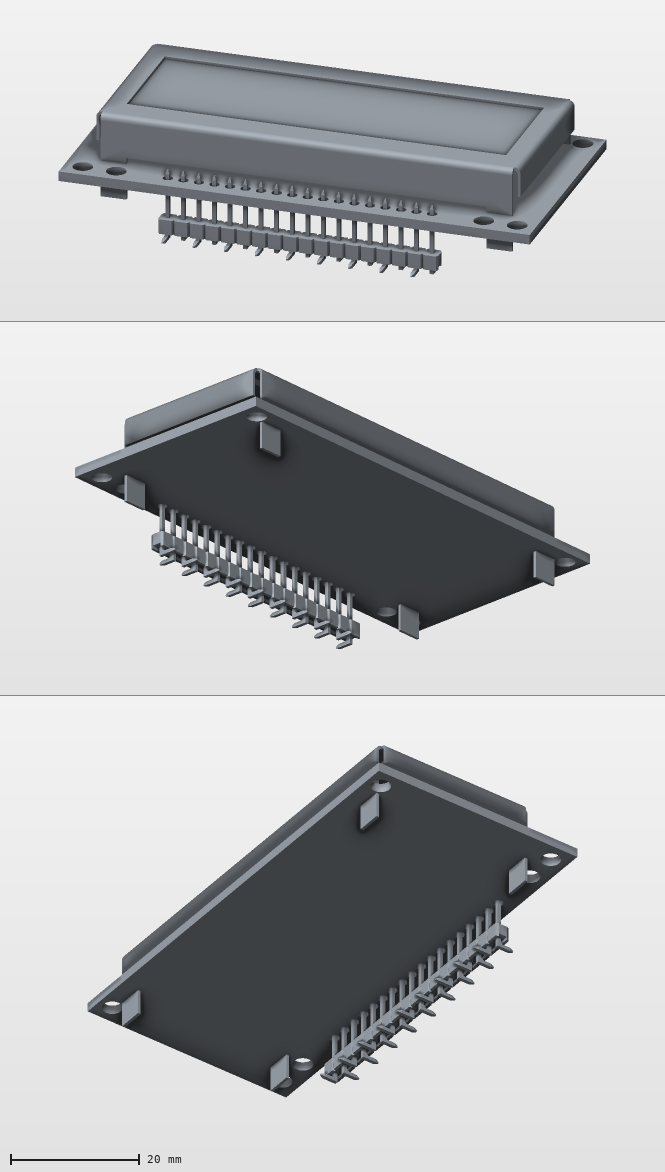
import cadquery as cq
import math

BOARD_LENGTH = 77.0
BOARD_WIDTH = 38.0
BOARD_THICKNESS = 1.6
MOUNT_HOLE_DIAMETER = 3.2
MOUNT_HOLE_SIDE_MARGIN = 3.0
MOUNT_HOLE_FRONT_MARGIN = 2.9
MOUNT_HOLE_BACK_MARGIN = 2.55
EXTRA_HOLE_SIDE_MARGIN = 8.5
PIN_HOLE_DIAMETER = 1.6

BEZEL_TOP_Z = 7.85
SHEET = 0.5
BEND_RADIUS = 1.0
FLAT_LENGTH = 67.3
FLAT_WIDTH = 26.95
BEZEL_CENTER_Y = 1.5
END_FLAP_BOTTOM_Z = 2.9
LONG_WALL_BOTTOM_Z = 1.0
LEG_WIDTH = 4.2
LEG_BOTTOM_Z = -6.1
WINDOW_LENGTH = 62.0
WINDOW_WIDTH = 18.95

GLASS_MARGIN = 2.0
GLASS_THICKNESS = 1.0

PIN_COUNT = 18
PITCH = 2.55
PIN_WIDTH = 0.6
PIN_TOP_Z = 1.5
PIN_BOTTOM_Z = -10.2
TIP_LENGTH = 0.7
TIP_WIDTH = 0.2
FOOT_REACH = 2.8
FOOT_GUSSET = 0.4
STRIP_TOP_Z = -6.6
STRIP_HEIGHT = 2.5
STRIP_CORNER_X = 0.25
STRIP_CORNER_Y = 0.5
CHANNEL_DEPTH = 0.5

HEADER_Y = -BOARD_WIDTH / 2 + MOUNT_HOLE_FRONT_MARGIN
PIN_XS = [(i - (PIN_COUNT - 1) / 2) * PITCH for i in range(PIN_COUNT)]


def box(x_size, y_size, z_low, z_high, x=0.0, y=0.0):
    """Box centred on (x, y) between two heights."""
    return cq.Workplane("XY", origin=(x, y, z_low)).rect(x_size, y_size).extrude(z_high - z_low)


def make_legs():
    """The four tabs at the ends of the long bezel walls, which pass through the board."""
    leg_x = (FLAT_LENGTH - LEG_WIDTH) / 2
    leg_y = FLAT_WIDTH / 2 + BEND_RADIUS - SHEET / 2
    legs = cq.Workplane("XY")
    for x in (-leg_x, leg_x):
        for y in (BEZEL_CENTER_Y - leg_y, BEZEL_CENTER_Y + leg_y):
            legs = legs.add(box(LEG_WIDTH, SHEET, LEG_BOTTOM_Z, LONG_WALL_BOTTOM_Z, x, y))
    return legs.combine()


def make_board():
    """Board with its mounting holes, pin holes and slots for the bezel legs."""
    board = box(BOARD_LENGTH, BOARD_WIDTH, -BOARD_THICKNESS, 0)
    corner_x = BOARD_LENGTH / 2 - MOUNT_HOLE_SIDE_MARGIN
    extra_x = BOARD_LENGTH / 2 - EXTRA_HOLE_SIDE_MARGIN
    front_y = -BOARD_WIDTH / 2 + MOUNT_HOLE_FRONT_MARGIN
    back_y = BOARD_WIDTH / 2 - MOUNT_HOLE_BACK_MARGIN
    mount_holes = [(x, front_y) for x in (-corner_x, -extra_x, extra_x, corner_x)]
    mount_holes += [(x, back_y) for x in (-corner_x, corner_x)]
    pin_holes = [(x, HEADER_Y) for x in PIN_XS]

    top = cq.Workplane("XY")
    board = board.cut(top.pushPoints(mount_holes).circle(MOUNT_HOLE_DIAMETER / 2).extrude(-BOARD_THICKNESS))
    board = board.cut(top.pushPoints(pin_holes).circle(PIN_HOLE_DIAMETER / 2).extrude(-BOARD_THICKNESS))
    return board.cut(make_legs())


def folded_edge(plane, flat_half, run_length, bottom_z):
    """Flat top with the sheet bent down along two opposite edges; run_length is along those edges."""
    inner_radius = BEND_RADIUS - SHEET
    bend_z = BEZEL_TOP_Z - BEND_RADIUS
    outer = flat_half + BEND_RADIUS
    inner = flat_half + inner_radius
    diagonal = math.cos(math.radians(45))
    outer_mid = (flat_half + BEND_RADIUS * diagonal, bend_z + BEND_RADIUS * diagonal)
    inner_mid = (flat_half + inner_radius * diagonal, bend_z + inner_radius * diagonal)
    return (
        cq.Workplane(plane)
        .moveTo(0, BEZEL_TOP_Z)
        .lineTo(flat_half, BEZEL_TOP_Z)
        .threePointArc(outer_mid, (outer, bend_z))
        .lineTo(outer, bottom_z)
        .lineTo(inner, bottom_z)
        .lineTo(inner, bend_z)
        .threePointArc(inner_mid, (flat_half, BEZEL_TOP_Z - SHEET))
        .lineTo(0, BEZEL_TOP_Z - SHEET)
        .mirrorY()
        .extrude(run_length / 2, both=True)
    )


def make_bezel():
    """Bezel shell with its window and its four legs."""
    long_walls = folded_edge("YZ", FLAT_WIDTH / 2, FLAT_LENGTH, LONG_WALL_BOTTOM_Z)
    end_flaps = folded_edge("XZ", FLAT_LENGTH / 2, FLAT_WIDTH, END_FLAP_BOTTOM_Z)
    window = box(WINDOW_LENGTH, WINDOW_WIDTH, BEZEL_TOP_Z - SHEET, BEZEL_TOP_Z)
    shell = long_walls.union(end_flaps).cut(window)
    return shell.translate((0, BEZEL_CENTER_Y, 0)).union(make_legs())


def make_glass():
    """Glass plate lying against the underside of the bezel top."""
    glass_top = BEZEL_TOP_Z - SHEET
    return box(
        WINDOW_LENGTH + 2 * GLASS_MARGIN,
        WINDOW_WIDTH + 2 * GLASS_MARGIN,
        glass_top - GLASS_THICKNESS,
        glass_top,
        y=BEZEL_CENTER_Y,
    )


def tapered_tip():
    """Square pyramid frustum standing on Z = 0."""
    return (
        cq.Workplane("XY")
        .rect(PIN_WIDTH, PIN_WIDTH)
        .workplane(offset=TIP_LENGTH)
        .rect(TIP_WIDTH, TIP_WIDTH)
        .loft(ruled=True)
    )


def make_pin():
    """One L-shaped pin on the Z axis with its foot toward -Y."""
    half = PIN_WIDTH / 2
    foot_end = -(FOOT_REACH - TIP_LENGTH)
    foot_top = PIN_BOTTOM_Z + PIN_WIDTH
    shoulder_z = PIN_TOP_Z - TIP_LENGTH
    profile = [
        (half, PIN_BOTTOM_Z),
        (half, shoulder_z),
        (-half, shoulder_z),
        (-half, foot_top + FOOT_GUSSET),
        (-half - FOOT_GUSSET, foot_top),
        (foot_end, foot_top),
        (foot_end, PIN_BOTTOM_Z),
    ]
    body = cq.Workplane("YZ").polyline(profile).close().extrude(half, both=True)
    top_tip = tapered_tip().translate((0, 0, shoulder_z))
    foot_tip = tapered_tip().rotate((0, 0, 0), (1, 0, 0), 90)
    foot_tip = foot_tip.translate((0, foot_end, PIN_BOTTOM_Z + half))
    return body.union(top_tip).union(foot_tip)


def make_strip():
    """Plastic strip of chamfered cells with a channel along its underside."""
    half_x = PITCH / 2
    half_y = PITCH / 2
    flat_x = half_x - STRIP_CORNER_X
    flat_y = half_y - STRIP_CORNER_Y
    cell_outline = [
        (half_x, -flat_y),
        (half_x, flat_y),
        (flat_x, half_y),
        (-flat_x, half_y),
        (-half_x, flat_y),
        (-half_x, -flat_y),
        (-flat_x, -half_y),
        (flat_x, -half_y),
    ]
    strip_bottom = STRIP_TOP_Z - STRIP_HEIGHT
    cell = cq.Workplane("XY").polyline(cell_outline).close().extrude(STRIP_HEIGHT)
    strip = cq.Workplane("XY")
    for x in PIN_XS:
        strip = strip.union(cell.translate((x, 0, strip_bottom)))
    channel = box(PIN_COUNT * PITCH, 2 * flat_y, strip_bottom, strip_bottom + CHANNEL_DEPTH)
    return strip.cut(channel)


def make_header():
    """Strip and pins joined into one body."""
    header = make_strip()
    pin = make_pin()
    for i, x in enumerate(PIN_XS):
        turn = 180 * (i % 2)
        header = header.union(pin.rotate((0, 0, 0), (0, 0, 1), turn).translate((x, 0, 0)))
    return header.translate((0, HEADER_Y, 0))


board = make_board()
bezel = make_bezel()
glass = make_glass()
header = make_header()

result = cq.Compound.makeCompound([board.val(), bezel.val(), glass.val(), header.val()])